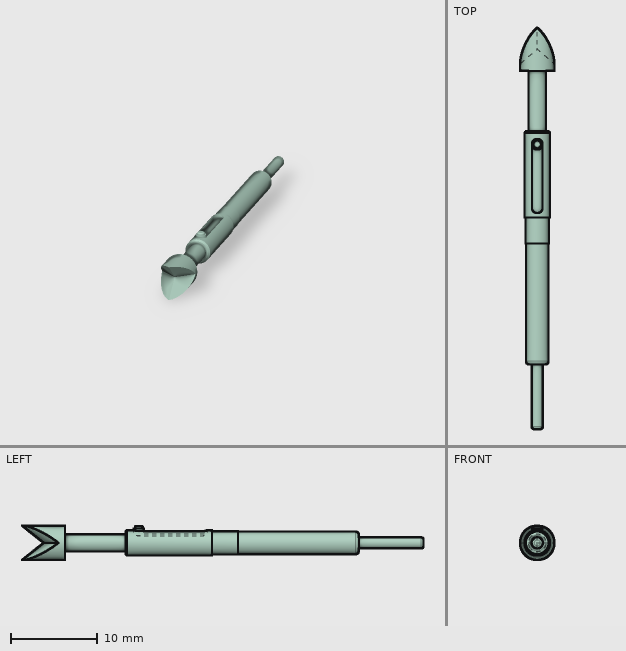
import cadquery as cq

TOTAL_LENGTH = 46.5

HEAD_LENGTH = 5.0
PLUNGER_END = 12.0
COLLAR_END = 22.0
PRESS_RING_END = 25.0
BARREL_END = 39.0

HEAD_RADIUS = 2.0
PLUNGER_RADIUS = 1.0
COLLAR_RADIUS = 1.5
COLLAR_CHAMFER = 0.2
PRESS_RING_DIAMETER = 2.75
BARREL_DIAMETER = 2.65
BARREL_ROUND = 0.41
TAIL_RADIUS = 0.65
TAIL_ROUND = 0.3

FORK_DEPTH_AT_AXIS = 2.5
FORK_DEPTH_AT_SIDE = 4.25

SLOT_WIDTH = 1.25
SLOT_END = 21.5
PIN_FROM_TIP = 13.55
PIN_BASE_RADIUS = 0.6
PIN_BASE_TOP = 1.67
PIN_CAP_RADIUS = 0.45
PIN_CAP_TOP = 1.95
PIN_CAP_ROUND = 0.165


def station(distance_from_tip):
    """Y position at a given distance behind the tip."""
    return TOTAL_LENGTH - distance_from_tip


def cylinder(radius, start, end):
    """Cylinder about the Y axis between two distances from the tip."""
    return (
        cq.Workplane("XZ", origin=(0, station(start), 0))
        .circle(radius)
        .extrude(end - start)
    )


def fork_groove(side):
    """V groove on one side of the head (side is -1 or +1), root sloping away from the tip."""
    root = cq.Vector(0, station(FORK_DEPTH_AT_AXIS), 0)
    root_direction = cq.Vector(side * HEAD_RADIUS, FORK_DEPTH_AT_AXIS - FORK_DEPTH_AT_SIDE, 0)
    slope = root_direction.Length / FORK_DEPTH_AT_AXIS
    reach = 2 * HEAD_LENGTH
    plane = cq.Plane(origin=root, xDir=(0, 0, 1), normal=root_direction)
    groove = (
        cq.Workplane(plane)
        .polyline([(0, 0), (reach * slope, -side * reach), (-reach * slope, -side * reach)])
        .close()
        .extrude(reach, both=True)
    )
    half_space = cq.Workplane("XY", origin=(side * reach / 2, TOTAL_LENGTH, 0)).box(reach, 2 * reach, reach)
    return groove.intersect(half_space)


def head():
    blank = cylinder(HEAD_RADIUS, 0, HEAD_LENGTH)
    for side in (-1, 1):
        blank = blank.cut(fork_groove(side))
    return blank


def collar():
    """Collar with a chamfered front edge and a keyway open down to the plunger."""
    body = cylinder(COLLAR_RADIUS, PLUNGER_END, COLLAR_END).faces(">Y").edges().chamfer(COLLAR_CHAMFER)
    slot_front = PIN_FROM_TIP - SLOT_WIDTH / 2
    slot = (
        cq.Workplane("XY", origin=(0, station((slot_front + SLOT_END) / 2), 0))
        .slot2D(SLOT_END - slot_front, SLOT_WIDTH, 90)
        .extrude(2 * COLLAR_RADIUS)
        .cut(cylinder(PLUNGER_RADIUS, PLUNGER_END, COLLAR_END))
    )
    return body.cut(slot)


def guide_pin():
    axis = cq.Workplane("XY", origin=(0, station(PIN_FROM_TIP), 0))
    base = axis.circle(PIN_BASE_RADIUS).extrude(PIN_BASE_TOP)
    cap = axis.circle(PIN_CAP_RADIUS).extrude(PIN_CAP_TOP).faces(">Z").edges().fillet(PIN_CAP_ROUND)
    return base.union(cap)


def barrel():
    press_ring = cylinder(PRESS_RING_DIAMETER / 2, COLLAR_END, PRESS_RING_END)
    tube = cylinder(BARREL_DIAMETER / 2, PRESS_RING_END, BARREL_END).faces("<Y").edges().fillet(BARREL_ROUND)
    return press_ring.union(tube)


plunger = cylinder(PLUNGER_RADIUS, HEAD_LENGTH, PLUNGER_END)
tail = cylinder(TAIL_RADIUS, BARREL_END, TOTAL_LENGTH).faces("<Y").edges().fillet(TAIL_ROUND)

result = (
    head()
    .union(plunger)
    .union(collar())
    .union(guide_pin())
    .union(barrel())
    .union(tail)
)